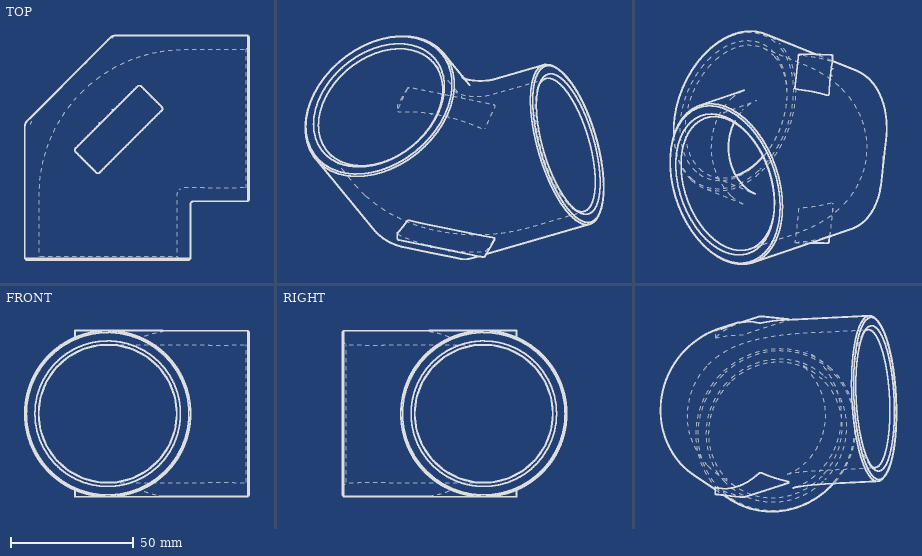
import cadquery as cq
import math

body_radius = 34.0
leg_length = 58.0
rim_chamfer = 0.7

throat_offset = 35.0

back_offset = 2.0
back_edge_radius = 3.0
back_edge_half_sweep = 84.0
back_edge_sections = 13

mouth_diameter = 56.66
bore_diameter = 56.64
mouth_chamfer = 1.5
socket_end = throat_offset
bore_radius = bore_diameter / 2
bore_inner_bend_radius = 3.0
bore_bend_radius = bore_radius + bore_inner_bend_radius

plate_length = 38.0
plate_width = 14.0
plate_corner_radius = 1.0
plate_rim_radius = 0.2
plate_center = 4.5
plate_height = 68.17
plate_angle = 45.0


def swap_legs(solid):
    """Mirror a solid across the bend's symmetry plane, from the X leg to the Y leg."""
    return solid.mirror("YZ").rotate((0, 0, 0), (0, 0, 1), 90)


def both_legs(solid):
    return solid.union(swap_legs(solid))


def make_leg():
    """Plain round leg along +X, with its rim chamfered."""
    leg = cq.Workplane("YZ").workplane(offset=back_offset).circle(body_radius)
    return leg.extrude(leg_length - back_offset).faces(">X").edges().chamfer(rim_chamfer)


def make_back():
    """Slanted cylinder between the end circles of the two legs, trimmed flush with both."""
    reach = body_radius + back_offset
    circle = cq.Wire.makeCircle(body_radius, cq.Vector(back_offset, 0, 0), cq.Vector(1, 0, 0))
    slanted = cq.Solid.extrudeLinear(circle, [], cq.Vector(-reach, -reach, 0))
    corner = cq.Workplane("XY").box(2 * reach, 2 * reach, 2 * reach)
    corner = corner.translate((back_offset - reach, reach - back_offset, 0))
    return corner.intersect(cq.Workplane(slanted))


def make_throat():
    """Square block in the crook of the bend, hollowed by a ring that rolls from leg to leg."""
    block = cq.Workplane("XY").rect(throat_offset, throat_offset).extrude(body_radius, both=True)
    block = block.translate((throat_offset / 2, -throat_offset / 2, 0))
    hollow = (
        cq.Workplane("XZ", origin=(throat_offset, -throat_offset, 0))
        .moveTo(0, -body_radius)
        .lineTo(-throat_offset, -body_radius)
        .threePointArc((body_radius - throat_offset, 0), (-throat_offset, body_radius))
        .lineTo(0, body_radius)
        .close()
        .revolve(360, (0, 0, 0), (0, 1, 0))
    )
    return block.cut(hollow)


def back_edge_section(angle):
    """Outline of the material rounded off between leg and back, at one angle around the leg."""
    across = math.cos(angle)
    turn = math.atan(across)
    setback = back_edge_radius * math.tan(turn / 2)
    sag = back_edge_radius * (1 - math.cos(turn / 2))

    def place(along, outward):
        radius = body_radius + outward
        return cq.Vector(back_offset + along, radius * across, radius * math.sin(angle))

    on_leg = place(setback, 0)
    on_back = place(-setback * math.cos(turn), -setback * math.sin(turn))
    arc_middle = place(setback - back_edge_radius * math.sin(turn / 2), -sag)
    outside = place(-setback * math.sin(turn / 2), setback)
    return cq.Wire.assembleEdges(
        [
            cq.Edge.makeThreePointArc(on_leg, arc_middle, on_back),
            cq.Edge.makeLine(on_back, outside),
            cq.Edge.makeLine(outside, on_leg),
        ]
    )


def make_back_edge_cutter():
    """Sliver that rounds the edge between leg and back; it thins out where the two run level."""
    step = 2 * back_edge_half_sweep / (back_edge_sections - 1)
    angles = [math.radians(index * step - back_edge_half_sweep) for index in range(back_edge_sections)]
    return cq.Workplane(cq.Solid.makeLoft([back_edge_section(angle) for angle in angles]))


def make_plates():
    """One block through the body, whose two ends stand proud as the label plates."""
    return (
        cq.Workplane("XY")
        .rect(plate_length, plate_width)
        .extrude(plate_height / 2, both=True)
        .edges("|Z")
        .fillet(plate_corner_radius)
        .faces("|Z")
        .edges()
        .fillet(plate_rim_radius)
        .rotate((0, 0, 0), (0, 0, 1), plate_angle)
        .translate((plate_center, -plate_center, 0))
    )


def make_socket():
    """Chamfered, slightly tapered socket of the X leg and the straight bore behind it."""
    mouth_radius = mouth_diameter / 2
    chamfer_end = leg_length - mouth_chamfer
    return (
        cq.Workplane("XY")
        .moveTo(bore_bend_radius, 0)
        .lineTo(bore_bend_radius, bore_radius)
        .lineTo(socket_end, bore_radius)
        .lineTo(chamfer_end, mouth_radius)
        .lineTo(leg_length, mouth_radius + mouth_chamfer)
        .lineTo(leg_length, 0)
        .close()
        .revolve(360, (0, 0, 0), (1, 0, 0))
    )


def make_bore_bend():
    """Quarter turn of the bore, from the X leg round to the Y leg."""
    return (
        cq.Workplane("YZ", origin=(bore_bend_radius, 0, 0))
        .circle(bore_radius)
        .revolve(90, (-bore_bend_radius, 0, 0), (-bore_bend_radius, 1, 0))
    )


body = both_legs(make_leg()).union(make_back())
body = body.cut(both_legs(make_back_edge_cutter()))
body = body.union(make_throat()).union(make_plates())
passage = both_legs(make_socket()).union(make_bore_bend())
result = body.cut(passage)